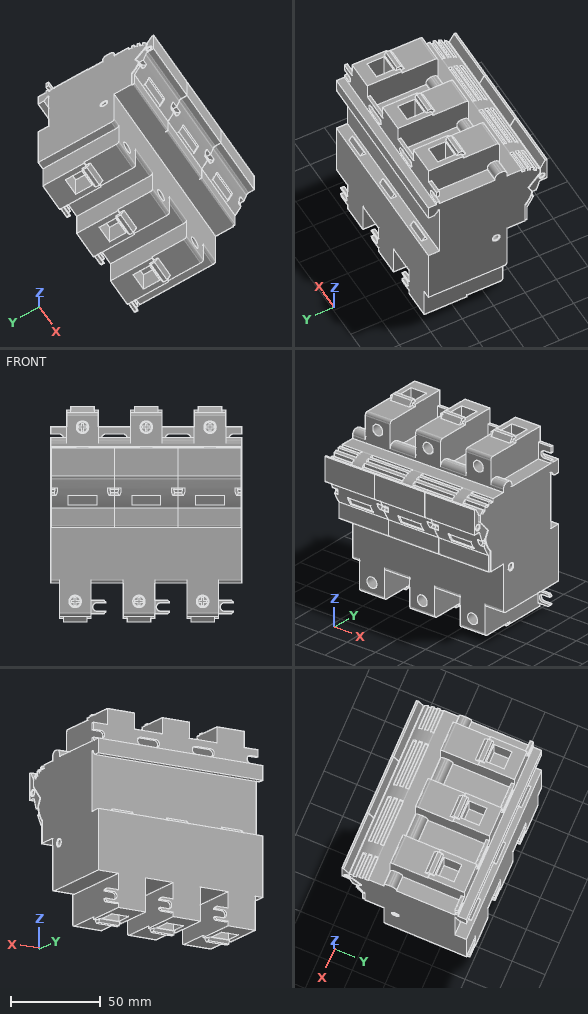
import cadquery as cq
import math


WIDTH = 106.8
DEPTH = 75.9
HEIGHT = 120.4
POLE_COUNT = 3
OVERLAP = 2.4
POLE_PITCH = WIDTH / POLE_COUNT

BODY_BOTTOM = 21.8
BODY_TOP = 98.6
BODY_FRONT = 50.1
EDGE_RADIUS = 1.8
ARC_INSET = 1 - math.sqrt(0.5)
RAIL_WALL = 7.0
RAIL_BOTTOM = 57.7
HOOK_BOTTOM = 89.9
HOOK_LIP = 3.7
HOOK_NOTCH_REAR = 6.4
HOOK_NOTCH_TOP = 92.8

NOSE_BOTTOM = 52.9
NOSE_TOP = 98.0
NOSE_CURVE_START = 59.5
NOSE_CURVE_MIDDLE = (66.1, 96.3)
NOSE_TIP = (71.2, 92.1)
NOSE_STOP = (71.2, 88.0)
NOSE_NICK = (63.8, 79.8)
NOSE_BELLY_TOP = (66.2, 75.4)
NOSE_BELLY_MIDDLE = (64.8, 70.5)
NOSE_LOWER_FRONT = 61.6
NOSE_BELLY_BOTTOM = (NOSE_LOWER_FRONT, 66.0)

BEAD_REAR = 42.5
BEAD_TOP = 103.2
BEAD_RADIUS = 3.1

TERMINAL_WIDTH = 17.7
LOWER_TERMINAL_SHIFT = -4.1
LATCH_HEIGHT = 1.9
TERMINAL_RISE = HEIGHT - LATCH_HEIGHT
TERMINAL_STEP = 1.3
STEP_DEPTH = 27.2
UPPER_TERMINAL_REAR = 5.0
LATCH_WIDTH = 13.2
LATCH_REAR = 24.3
LATCH_CREST = (25.3, 27.7)
LATCH_FRONT = 29.9
WIRE_OPENING = 10.8
WIRE_OPENING_CENTRE = 18.2
WIRE_OPENING_LENGTH = 16.9
SCREW_HOLE_DIAMETER = 7.0
SCREW_HOLE_DROP = 11.5
SCREW_HOLE_LENGTH = 16.9
SCREW_HEAD_HEIGHT = 1.2
SCREW_HEAD_DIAMETER = 5.8
CROSS_LENGTH = 4.3
CROSS_WIDTH = 1.1

PLATE_THICKNESS = RAIL_WALL - UPPER_TERMINAL_REAR
PLATE_TOP = 109.1
PLATE_SLOT_LENGTH = 14.1
PLATE_SLOT_HEIGHT = 4.6
PLATE_SLOT_Z = 102.7
FORK_REACH = 8.3
FORK_BOTTOM = 4.6
FORK_HEIGHT = 7.7
FORK_SLOT = 4.6
FORK_WEB = 1.0
FORK_CHAMFER = 1.1

HANDLE_INSET = 0.5
HANDLE_ROOT = 60.2
HANDLE_LOWER_FRONT = 63.2
HANDLE_BOTTOM_RADIUS = 0.7
APRON_BOTTOM = (HANDLE_LOWER_FRONT, 63.6)
APRON_MIDDLE = (67.9, 72.2)
APRON_TOP = (70.7, 79.8)
LIP_BOTTOM = 81.5
LIP_TOP = 97.3
LIP_ROOT_MIDDLE = (71.0, 80.9)
LIP_ROOT_FRONT = 72.0
LIP_TOP_REAR = 74.6
PARTING_GAP = 0.1
HANDLE_CLEARANCE = 0.4
WINDOW_WIDTH = 16.0
WINDOW_BOTTOM = 65.4
WINDOW_TOP = 70.8
WINDOW_FLOOR_BOTTOM = 63.3
WINDOW_FLOOR_TOP = 66.3

POCKET_WIDTH = 7.5
POCKET_FLOOR_WIDTH = 4.2
POCKET_BOTTOM = 70.7
POCKET_TOP = 74.9
POCKET_SILL_FRONT = 66.8
POCKET_FLOOR = ((66.0, 72.2), (66.7, 74.2), (66.1, POCKET_TOP))
POCKET_FLARE = (66.2, 68.0)

VENT_WIDTH = 1.9
VENT_BRIDGE = 7.5
VENT_ROWS = ((59.6, 96.1, 95.8), (63.2, 95.5, 94.6), (66.8, 93.5, 92.1))

SEAL_HOLE = (72.6, 85.0, 3.1)
RIVET_HOLE = (43.2, 48.5, 4.0)
COUNTERSINK = 0.42
RIDGE_WIDTH = 13.2
RIDGE_HEIGHT = 2.4
RIDGE_OUTLINE = ((1.8, RAIL_BOTTOM), (4.0, RAIL_BOTTOM + RIDGE_HEIGHT), (5.3, RAIL_BOTTOM))

pole_centres = [(i - (POLE_COUNT - 1) / 2) * POLE_PITCH for i in range(POLE_COUNT)]
pole_edges = [(i - POLE_COUNT / 2) * POLE_PITCH for i in range(POLE_COUNT + 1)]


def side_plane(x=0.0):
    """Sketch plane across X: local x is depth from the rear, local y is height."""
    return cq.Workplane(cq.Plane(origin=(x, 0, 0), xDir=(0, -1, 0), normal=(-1, 0, 0)))


def prism(points, width, x=0.0):
    """Extrude a (depth, height) outline across X, centred on x."""
    return side_plane(x).polyline(points).close().extrude(width / 2, both=True)


def block(x, width, depths, heights):
    """Box centred on x between two depths and two heights."""
    (rear, front), (bottom, top) = depths, heights
    return prism([(rear, bottom), (front, bottom), (front, top), (rear, top)], width, x)


def front_cylinder(x, z, diameter, start, length):
    """Cylinder along Y whose front end lies at depth `start`."""
    return cq.Workplane("XZ", origin=(x, -start, z)).circle(diameter / 2).extrude(-length)


def make_body():
    """Full-width body with rail recess, hook, nose and bead."""
    bead_front_z = BEAD_TOP - BEAD_RADIUS
    corner = BEAD_RADIUS * ARC_INSET
    inset = EDGE_RADIUS * ARC_INSET
    return (
        side_plane()
        .moveTo(0, BODY_BOTTOM)
        .lineTo(BODY_FRONT - EDGE_RADIUS, BODY_BOTTOM)
        .threePointArc((BODY_FRONT - inset, BODY_BOTTOM + inset), (BODY_FRONT, BODY_BOTTOM + EDGE_RADIUS))
        .lineTo(BODY_FRONT, NOSE_BOTTOM)
        .lineTo(NOSE_LOWER_FRONT, NOSE_BOTTOM)
        .lineTo(*NOSE_BELLY_BOTTOM)
        .threePointArc(NOSE_BELLY_MIDDLE, NOSE_BELLY_TOP)
        .lineTo(*NOSE_NICK)
        .lineTo(*NOSE_STOP)
        .lineTo(*NOSE_TIP)
        .threePointArc(NOSE_CURVE_MIDDLE, (NOSE_CURVE_START, NOSE_TOP))
        .lineTo(BODY_FRONT, NOSE_TOP)
        .lineTo(BODY_FRONT, bead_front_z)
        .threePointArc((BODY_FRONT - corner, BEAD_TOP - corner), (BODY_FRONT - BEAD_RADIUS, BEAD_TOP))
        .lineTo(BEAD_REAR + BEAD_RADIUS, BEAD_TOP)
        .threePointArc((BEAD_REAR + corner, BEAD_TOP - corner), (BEAD_REAR, bead_front_z))
        .lineTo(BEAD_REAR, BODY_TOP)
        .lineTo(0, BODY_TOP)
        .lineTo(0, HOOK_BOTTOM)
        .lineTo(HOOK_LIP, HOOK_BOTTOM)
        .lineTo(HOOK_NOTCH_REAR, HOOK_NOTCH_TOP)
        .lineTo(RAIL_WALL, HOOK_NOTCH_TOP)
        .lineTo(RAIL_WALL, RAIL_BOTTOM)
        .lineTo(0, RAIL_BOTTOM)
        .close()
        .extrude(WIDTH / 2, both=True)
    )


def make_handles():
    """Row of handles: pull lip at the top, curved apron below it."""
    inset = HANDLE_BOTTOM_RADIUS * ARC_INSET
    row = (
        side_plane()
        .moveTo(HANDLE_ROOT, NOSE_BOTTOM)
        .lineTo(HANDLE_LOWER_FRONT - HANDLE_BOTTOM_RADIUS, NOSE_BOTTOM)
        .threePointArc(
            (HANDLE_LOWER_FRONT - inset, NOSE_BOTTOM + inset),
            (HANDLE_LOWER_FRONT, NOSE_BOTTOM + HANDLE_BOTTOM_RADIUS),
        )
        .lineTo(*APRON_BOTTOM)
        .threePointArc(APRON_MIDDLE, APRON_TOP)
        .threePointArc(LIP_ROOT_MIDDLE, (LIP_ROOT_FRONT, LIP_BOTTOM))
        .lineTo(DEPTH, LIP_BOTTOM)
        .lineTo(DEPTH, LIP_TOP)
        .lineTo(LIP_TOP_REAR, LIP_TOP)
        .lineTo(NOSE_TIP[0] + HANDLE_CLEARANCE, NOSE_TIP[1])
        .lineTo(NOSE_STOP[0] + HANDLE_CLEARANCE, NOSE_STOP[1])
        .lineTo(*NOSE_STOP)
        .lineTo(*NOSE_NICK)
        .lineTo(HANDLE_ROOT, NOSE_NICK[1])
        .close()
        .extrude(WIDTH / 2 - HANDLE_INSET, both=True)
    )
    for x in pole_edges[1:-1]:
        row = row.cut(block(x, PARTING_GAP, (0, DEPTH), (0, HEIGHT)))
    return row


def terminal(x, rear):
    """Upper terminal block with its latch; the lower one is its mirror image."""
    front_top = TERMINAL_RISE - TERMINAL_STEP
    inset = EDGE_RADIUS * ARC_INSET
    housing = (
        side_plane(x)
        .moveTo(rear, BODY_TOP - OVERLAP)
        .lineTo(BODY_FRONT, BODY_TOP - OVERLAP)
        .lineTo(BODY_FRONT, front_top - EDGE_RADIUS)
        .threePointArc((BODY_FRONT - inset, front_top - inset), (BODY_FRONT - EDGE_RADIUS, front_top))
        .lineTo(STEP_DEPTH, front_top)
        .lineTo(STEP_DEPTH, TERMINAL_RISE)
        .lineTo(rear, TERMINAL_RISE)
        .close()
        .extrude(TERMINAL_WIDTH / 2, both=True)
    )
    crest_rear, crest_front = LATCH_CREST
    latch_outline = [
        (LATCH_REAR, TERMINAL_RISE),
        (crest_rear, HEIGHT),
        (crest_front, HEIGHT),
        (LATCH_FRONT, front_top),
        (LATCH_REAR, front_top),
    ]
    latch = prism(latch_outline, LATCH_WIDTH, x)
    return housing.union(latch)


def terminal_cavity(x):
    """Wire opening and screw hole of an upper terminal, with the screw head left standing."""
    screw_z = HEIGHT - SCREW_HOLE_DROP
    half_opening = WIRE_OPENING / 2
    opening = block(
        x,
        WIRE_OPENING,
        (WIRE_OPENING_CENTRE - half_opening, WIRE_OPENING_CENTRE + half_opening),
        (TERMINAL_RISE - WIRE_OPENING_LENGTH, HEIGHT),
    )
    hole = front_cylinder(x, screw_z, SCREW_HOLE_DIAMETER, BODY_FRONT, SCREW_HOLE_LENGTH)
    head_front = BODY_FRONT - SCREW_HOLE_LENGTH + SCREW_HEAD_HEIGHT
    head = front_cylinder(x, screw_z, SCREW_HEAD_DIAMETER, head_front, SCREW_HEAD_HEIGHT)
    for size_x, size_z in ((CROSS_LENGTH, CROSS_WIDTH), (CROSS_WIDTH, CROSS_LENGTH)):
        cross_bar = block(
            x,
            size_x,
            (head_front - SCREW_HEAD_HEIGHT, head_front),
            (screw_z - size_z / 2, screw_z + size_z / 2),
        )
        head = head.cut(cross_bar)
    return opening.union(hole.cut(head))


def to_bottom(shape):
    """Mirror an upper feature to the lower end of the part."""
    return shape.mirror("XY", (0, 0, HEIGHT / 2))


def make_plate():
    """Mounting plate behind the upper terminals, slotted at every pole edge."""
    plate = block(0, WIDTH, (UPPER_TERMINAL_REAR, RAIL_WALL), (BODY_TOP - OVERLAP, PLATE_TOP))
    slots = (
        cq.Workplane("XZ")
        .pushPoints([(x, PLATE_SLOT_Z) for x in pole_edges])
        .slot2D(PLATE_SLOT_LENGTH, PLATE_SLOT_HEIGHT)
        .extrude(DEPTH / 2)
    )
    return plate.cut(slots)


def make_fork(x):
    """Fork on the right-hand side of a lower terminal, open towards +X."""
    root = x + TERMINAL_WIDTH / 2
    tip = root + FORK_REACH
    centre_z = FORK_BOTTOM + FORK_HEIGHT / 2
    radius = FORK_SLOT / 2
    blade = (
        cq.Workplane("XZ")
        .center((root + tip) / 2, centre_z)
        .rect(FORK_REACH, FORK_HEIGHT)
        .extrude(PLATE_THICKNESS)
        .edges("|Y and >X")
        .chamfer(FORK_CHAMFER)
    )
    slot_centre = root + FORK_WEB + radius
    slot = (
        cq.Workplane("XZ")
        .moveTo(tip, centre_z - radius)
        .lineTo(slot_centre, centre_z - radius)
        .threePointArc((root + FORK_WEB, centre_z), (slot_centre, centre_z + radius))
        .lineTo(tip, centre_z + radius)
        .close()
        .extrude(PLATE_THICKNESS)
    )
    return blade.cut(slot)


def make_vents():
    """Three rows of slots in the nose top, interrupted at each pole centre."""
    vents = cq.Workplane()
    for x in pole_edges:
        for rear, rear_floor, front_floor in VENT_ROWS:
            front = rear + VENT_WIDTH
            outline = [(rear, rear_floor), (front, front_floor), (front, NOSE_TOP), (rear, NOSE_TOP)]
            vents.add(prism(outline, POLE_PITCH - VENT_BRIDGE, x))
    return vents.combine()


def latch_pocket(x):
    """Pocket in the aprons at a pole edge, narrowing inwards and with a sloped sill."""
    mouth = [(DEPTH, POCKET_TOP), (DEPTH, POCKET_BOTTOM)]
    outline = [(POCKET_SILL_FRONT, POCKET_BOTTOM), *POCKET_FLOOR, *mouth]
    side_shape = prism(outline, POCKET_WIDTH, x)
    flare_rear, flare_front = POCKET_FLARE
    half_floor = POCKET_FLOOR_WIDTH / 2
    half_mouth = POCKET_WIDTH / 2
    right_side = [
        (half_floor, 0),
        (half_floor, -flare_rear),
        (half_mouth, -flare_front),
        (half_mouth, -DEPTH),
    ]
    left_side = [(-across, y) for across, y in reversed(right_side)]
    plan_shape = (
        cq.Workplane("XY", origin=(x, 0, POCKET_BOTTOM))
        .polyline(right_side + left_side)
        .close()
        .extrude(POCKET_TOP - POCKET_BOTTOM)
    )
    return side_shape.intersect(plan_shape)


def handle_window(x):
    """Shallow flat-floored recess in the curved apron."""
    outline = [
        (WINDOW_FLOOR_BOTTOM, WINDOW_BOTTOM),
        (WINDOW_FLOOR_TOP, WINDOW_TOP),
        (DEPTH, WINDOW_TOP),
        (DEPTH, WINDOW_BOTTOM),
    ]
    return prism(outline, WINDOW_WIDTH, x)


def cross_hole(depth, height, diameter, half_width):
    """Hole across the part, countersunk where it meets the side faces at +-half_width."""
    bore = diameter / 2
    mouth = bore + COUNTERSINK
    return (
        cq.Workplane("XY")
        .moveTo(-half_width, 0)
        .lineTo(-half_width, mouth)
        .lineTo(-half_width + COUNTERSINK, bore)
        .lineTo(half_width - COUNTERSINK, bore)
        .lineTo(half_width, mouth)
        .lineTo(half_width, 0)
        .close()
        .revolve(360, (0, 0), (1, 0))
        .translate((0, -depth, height))
    )


part = make_body()
part = part.union(make_handles()).union(make_plate())
for x in pole_centres:
    lower_x = x + LOWER_TERMINAL_SHIFT
    part = part.union(terminal(x, UPPER_TERMINAL_REAR))
    part = part.union(to_bottom(terminal(lower_x, 0)))
    part = part.union(make_fork(lower_x))
    part = part.union(prism(RIDGE_OUTLINE, RIDGE_WIDTH, x))
    part = part.cut(terminal_cavity(x))
    part = part.cut(to_bottom(terminal_cavity(lower_x)))
    part = part.cut(handle_window(x))

part = part.cut(make_vents())
for x in pole_edges:
    part = part.cut(latch_pocket(x))
part = part.cut(cross_hole(*SEAL_HOLE, WIDTH / 2 - HANDLE_INSET))
part = part.cut(cross_hole(*RIVET_HOLE, WIDTH / 2))

result = part